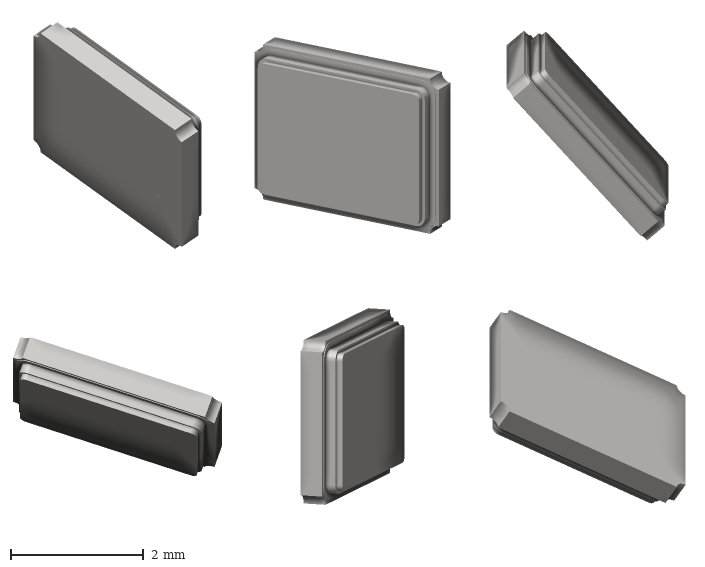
import cadquery as cq

LENGTH = 3.2
WIDTH = 2.5
HEIGHT = 0.6

BASE_HEIGHT = 0.35
NOTCH_RADIUS = 0.15

PAD_INSET = 0.105
PAD_LENGTH = 0.895
PAD_WIDTH = 0.795
PAD_CHAMFER = 0.3
TERMINAL_CORNER = 0.2
TERMINAL_DEPTH = 0.2

FLANGE_HEIGHT = 0.01
FLANGE_INSET = 0.05
RING_HEIGHT = 0.15
RING_INSET = 0.15
LID_INSET = 0.2
CORNER_CENTRE = 0.3

FLANGE_TOP = BASE_HEIGHT + FLANGE_HEIGHT
RING_TOP = FLANGE_TOP + RING_HEIGHT


def plane_at(y):
    """XZ sketch plane at height y; a negative extrusion goes towards +Y."""
    return cq.Workplane("XZ", origin=(0, y, 0))


def rounded_plate(inset, bottom, top):
    """Plate set in from the package sides, with rounded corners."""
    return (
        plane_at(bottom)
        .rect(LENGTH - 2 * inset, WIDTH - 2 * inset)
        .extrude(bottom - top)
        .edges("|Y")
        .fillet(CORNER_CENTRE - inset)
    )


def make_package_block():
    """Plain block with the four corner notches cut through it."""
    notches = (
        plane_at(0)
        .rect(LENGTH, WIDTH, forConstruction=True)
        .vertices()
        .circle(NOTCH_RADIUS)
        .extrude(-BASE_HEIGHT)
    )
    return plane_at(0).rect(LENGTH, WIDTH).extrude(-BASE_HEIGHT).cut(notches)


def make_terminal(package_block, x_side, z_side, chamfered):
    """Pad and corner link on one corner; x_side and z_side are -1 or 1."""
    corner_x = x_side * LENGTH / 2
    corner_z = z_side * WIDTH / 2
    pad = (
        plane_at(0)
        .center(
            corner_x - x_side * (PAD_INSET + PAD_LENGTH / 2),
            corner_z - z_side * (PAD_INSET + PAD_WIDTH / 2),
        )
        .rect(PAD_LENGTH, PAD_WIDTH)
        .extrude(-TERMINAL_DEPTH)
    )
    if chamfered:
        pad = pad.edges("|Y and >X and <Z").chamfer(PAD_CHAMFER)
    link = (
        plane_at(0)
        .center(corner_x - x_side * TERMINAL_CORNER / 2, corner_z - z_side * TERMINAL_CORNER / 2)
        .rect(TERMINAL_CORNER, TERMINAL_CORNER)
        .extrude(-TERMINAL_DEPTH)
    )
    return pad.union(link).intersect(package_block)


def make_terminals(package_block):
    """One terminal per corner; the chamfer marks the one at -X, +Z."""
    terminals = []
    for x_side in (-1, 1):
        for z_side in (-1, 1):
            is_marked = (x_side, z_side) == (-1, 1)
            terminals.append(make_terminal(package_block, x_side, z_side, is_marked))
    return terminals


def make_base(package_block, terminals):
    """Package block with a matching recess for each terminal."""
    base = package_block
    for terminal in terminals:
        base = base.cut(terminal)
    return base


def make_lid():
    """Lid plate, standing on the base and rising above the frame."""
    return rounded_plate(LID_INSET, BASE_HEIGHT, HEIGHT)


def make_seal_frame(lid):
    """Thin flange with a narrower ring on it, open in the middle to take the lid."""
    flange = rounded_plate(FLANGE_INSET, BASE_HEIGHT, FLANGE_TOP)
    ring = rounded_plate(RING_INSET, FLANGE_TOP, RING_TOP)
    return flange.union(ring).cut(lid)


package_block = make_package_block()
terminals = make_terminals(package_block)
base = make_base(package_block, terminals)
lid = make_lid()
seal_frame = make_seal_frame(lid)

result = cq.Compound.makeCompound(
    [base.val(), seal_frame.val(), lid.val(), *[terminal.val() for terminal in terminals]]
)